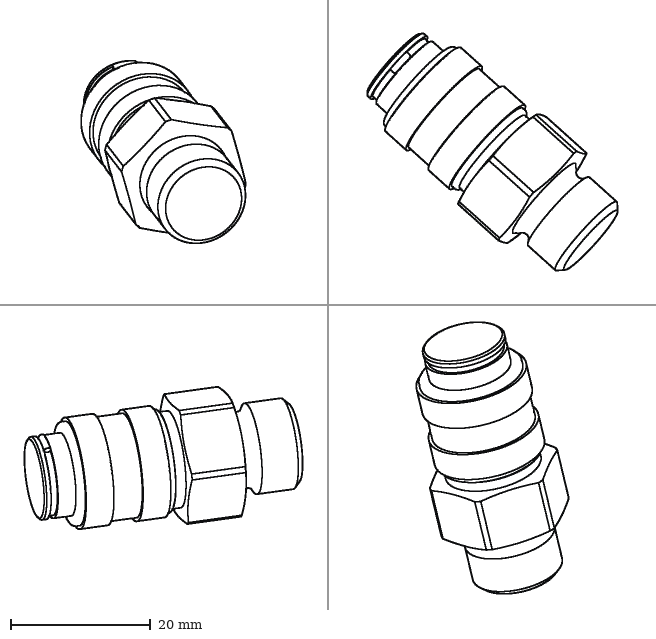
import cadquery as cq
import math

overall_length = 38.15

plug_diameter = 12.0
plug_chamfer = 0.3
groove_diameter = 11.15
groove_start = 0.95
groove_width = 1.03

sleeve_diameter = 15.1
sleeve_start = 4.6
sleeve_length = 14.45
sleeve_fillet = 0.5
band_diameter = 16.15
band_width = 4.1
band_inset = 1.0

neck_diameter = 14.0
hex_start = 20.6
hex_length = 8.5
hex_across_flats = 17.0
hex_corner_diameter = 19.15
hex_chamfer_length = 0.3
hex_turn = 14.0

thread_diameter = 13.15
thread_start = 31.95
thread_chamfer = 0.88
undercut_diameter = 11.05
undercut_radius = 1.05
undercut_hex_angle = 45.0
undercut_thread_angle = 60.0

wire_diameter = 1.0
wire_front_angle = 18.2
wire_back_angle = 12.6

hex_end = hex_start + hex_length
sleeve_end = sleeve_start + sleeve_length


def turned_cylinder(diameter, start, end):
    """Cylinder about the X axis between two X positions."""
    return cq.Workplane("YZ").workplane(offset=start).circle(diameter / 2).extrude(end - start)


def revolve_about_x(profile):
    """Revolve a closed XY profile a full turn about the X axis."""
    return profile.close().revolve(360, (0, 0, 0), (1, 0, 0))


def make_plug_end():
    plug = turned_cylinder(plug_diameter, 0, sleeve_start).faces("<X").chamfer(plug_chamfer)
    groove_end = groove_start + groove_width
    groove = turned_cylinder(plug_diameter, groove_start, groove_end).cut(
        turned_cylinder(groove_diameter, groove_start, groove_end)
    )
    return plug.cut(groove)


def make_sleeve():
    sleeve = turned_cylinder(sleeve_diameter, sleeve_start, sleeve_end)
    sleeve = sleeve.faces("<X or >X").edges().fillet(sleeve_fillet)
    first_band_start = sleeve_start + band_inset
    second_band_start = sleeve_end - band_inset - band_width
    for band_start in (first_band_start, second_band_start):
        sleeve = sleeve.union(turned_cylinder(band_diameter, band_start, band_start + band_width))
    return sleeve


def make_hexagon():
    prism = (
        cq.Workplane("YZ")
        .workplane(offset=hex_start)
        .polygon(6, hex_across_flats, circumscribed=True)
        .extrude(hex_length)
        .rotate((0, 0, 0), (1, 0, 0), hex_turn)
    )
    corner_radius = hex_corner_diameter / 2
    face_radius = hex_across_flats / 2
    envelope = revolve_about_x(
        cq.Workplane("XY")
        .moveTo(hex_start, 0)
        .lineTo(hex_start, face_radius)
        .lineTo(hex_start + hex_chamfer_length, corner_radius)
        .lineTo(hex_end - hex_chamfer_length, corner_radius)
        .lineTo(hex_end, face_radius)
        .lineTo(hex_end, 0)
    )
    return prism.intersect(envelope)


def make_threaded_end():
    """Undercut with an arc bottom tangent to its two straight flanks, then the thread cylinder."""
    thread_radius = thread_diameter / 2
    arc_height = undercut_diameter / 2 + undercut_radius
    hex_slope = math.radians(undercut_hex_angle)
    thread_slope = math.radians(undercut_thread_angle)

    thread_flank_height = arc_height - undercut_radius * math.cos(thread_slope)
    thread_flank_x = thread_start - (thread_radius - thread_flank_height) / math.tan(thread_slope)
    arc_x = thread_flank_x - undercut_radius * math.sin(thread_slope)
    hex_flank_x = arc_x - undercut_radius * math.sin(hex_slope)
    hex_flank_height = arc_height - undercut_radius * math.cos(hex_slope)
    flank_top = hex_flank_height + (hex_flank_x - hex_end) * math.tan(hex_slope)

    return revolve_about_x(
        cq.Workplane("XY")
        .moveTo(hex_end, 0)
        .lineTo(hex_end, flank_top)
        .lineTo(hex_flank_x, hex_flank_height)
        .threePointArc((arc_x, undercut_diameter / 2), (thread_flank_x, thread_flank_height))
        .lineTo(thread_start, thread_radius)
        .lineTo(overall_length - thread_chamfer, thread_radius)
        .lineTo(overall_length, thread_radius - thread_chamfer)
        .lineTo(overall_length, 0)
    )


def make_coupling_body():
    neck = turned_cylinder(neck_diameter, sleeve_end, hex_start)
    return make_plug_end().union(make_sleeve()).union(neck).union(make_hexagon()).union(make_threaded_end())


def make_retaining_wire():
    """Round wire bent about the X axis, spanning the top of the groove."""
    wire_x = groove_start + groove_width / 2
    bend_radius = (groove_diameter + wire_diameter) / 2
    wire = (
        cq.Workplane("XZ")
        .center(wire_x, bend_radius)
        .circle(wire_diameter / 2)
        .revolve(wire_front_angle + wire_back_angle, (0, -bend_radius, 0), (1, -bend_radius, 0))
    )
    return wire.rotate((0, 0, 0), (1, 0, 0), -wire_back_angle)


coupling_body = make_coupling_body()
retaining_wire = make_retaining_wire()

result = cq.Compound.makeCompound([coupling_body.solids().val(), retaining_wire.solids().val()])